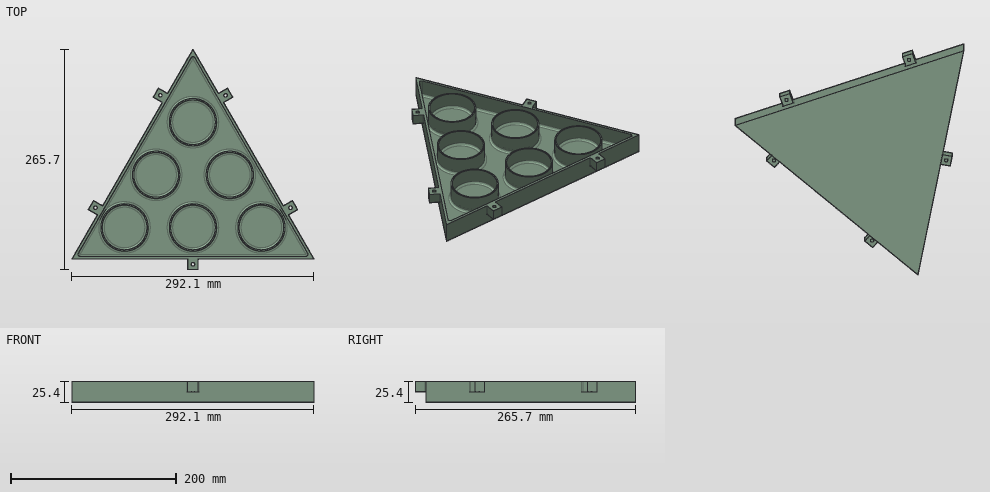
import cadquery as cq
import math

side_length = 292.1
tray_height = 25.4
wall = 3.175
floor = 3.175
cup_floor = 5.08
inner_radius = 2.54

cup_outer_diameter = 57.15
cup_inner_diameter = 53.98
cup_top = tray_height
first_row_y = 38.1
row_pitch = 63.5
bottom_row_x = 82.55
middle_row_x = 44.45

tab_width = 12.7
tab_length = 12.7
tab_height = 12.7
tab_root_radius = 0.9
tab_hole_diameter = 4.0
tab_offset = 78.3

triangle_height = side_length * math.sqrt(3) / 2
center_y = triangle_height / 3
tab_bottom = tray_height - tab_height
arc_middle_factor = 1 - math.sqrt(0.5)

cup_centers = [
    (-bottom_row_x, first_row_y),
    (0, first_row_y),
    (bottom_row_x, first_row_y),
    (-middle_row_x, first_row_y + row_pitch),
    (middle_row_x, first_row_y + row_pitch),
    (0, first_row_y + 2 * row_pitch),
]


def triangle_prism(inset, bottom, top):
    """Equilateral prism whose sides lie `inset` inside the outer triangle."""
    half_side = side_length / 2 - inset * math.sqrt(3)
    corners = [(-half_side, inset), (half_side, inset), (0, triangle_height - 2 * inset)]
    return cq.Workplane("XY").workplane(offset=bottom).polyline(corners).close().extrude(top - bottom)


def make_tray():
    """Open tray with rounded inner corners and a rounded floor edge."""
    cavity = triangle_prism(wall, floor, tray_height)
    cavity = cavity.edges("|Z or <Z").fillet(inner_radius)
    return triangle_prism(0, 0, tray_height).cut(cavity)


def make_cup(center):
    """Round cup with a raised floor, rounded at its root inside and out."""
    outer = cup_outer_diameter / 2
    inner = cup_inner_diameter / 2
    arc_reach = inner_radius * arc_middle_factor
    profile = (
        cq.Workplane("XZ")
        .moveTo(0, floor / 2)
        .lineTo(outer + inner_radius, floor / 2)
        .lineTo(outer + inner_radius, floor)
        .threePointArc((outer + arc_reach, floor + arc_reach), (outer, floor + inner_radius))
        .lineTo(outer, cup_top)
        .lineTo(inner, cup_top)
        .lineTo(inner, cup_floor + inner_radius)
        .threePointArc((inner - arc_reach, cup_floor + arc_reach), (inner - inner_radius, cup_floor))
        .lineTo(0, cup_floor)
        .close()
    )
    cup = profile.revolve(360, (0, 0, 0), (0, 1, 0))
    return cup.translate((center[0], center[1], 0))


def make_tab(along, turn):
    """Drilled tab on one side; `along` runs from the middle of that side."""
    half_width = tab_width / 2
    root = tab_root_radius
    arc_reach = root * arc_middle_factor
    tab = (
        cq.Workplane("XY")
        .workplane(offset=tab_bottom)
        .moveTo(-half_width - root, 0)
        .threePointArc((-half_width - arc_reach, -arc_reach), (-half_width, -root))
        .lineTo(-half_width, -tab_length)
        .lineTo(half_width, -tab_length)
        .lineTo(half_width, -root)
        .threePointArc((half_width + arc_reach, -arc_reach), (half_width + root, 0))
        .lineTo(half_width + root, wall / 2)
        .lineTo(-half_width - root, wall / 2)
        .close()
        .extrude(tab_height)
    )
    hole = (
        cq.Workplane("XY")
        .workplane(offset=tab_bottom)
        .center(0, -tab_length / 2)
        .circle(tab_hole_diameter / 2)
        .extrude(tab_height)
    )
    tab = tab.cut(hole).translate((along, 0, 0))
    return tab.rotate((0, center_y, 0), (0, center_y, 1), turn)


result = make_tray()
for cup_center in cup_centers:
    result = result.union(make_cup(cup_center))

result = result.union(make_tab(0, 0))
for side_turn in (120, -120):
    for offset in (-tab_offset, tab_offset):
        result = result.union(make_tab(offset, side_turn))